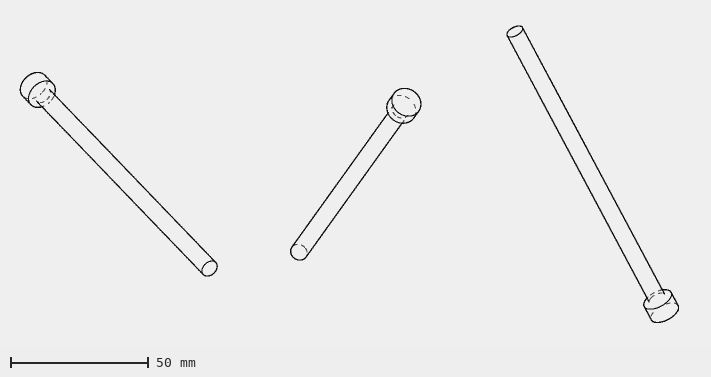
import cadquery as cq

overall_length = 133.35
head_diameter = 11.11
head_length = 6.35
shank_diameter = 6.35
fillet_radius = 0.8

head_radius = head_diameter / 2
shank_radius = shank_diameter / 2


def make_pin():
    """Revolve the half profile of the head, fillet and shank about the X axis."""
    half_profile = (
        cq.Workplane("XY")
        .lineTo(0, head_radius)
        .lineTo(head_length, head_radius)
        .lineTo(head_length, shank_radius + fillet_radius)
        .radiusArc((head_length + fillet_radius, shank_radius), -fillet_radius)
        .lineTo(overall_length, shank_radius)
        .lineTo(overall_length, 0)
        .close()
    )
    return half_profile.revolve(360, (0, 0, 0), (1, 0, 0))


result = make_pin()